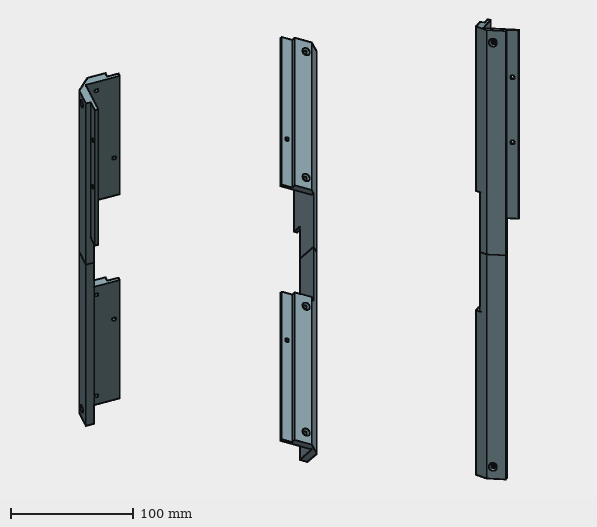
import cadquery as cq

length = 377.0
leg_width = 37.0
split_height = length / 2

leg_thickness = 7.0
lip_step = 4.0
thick_width = 27.0
corner_chamfer = 11.3

window_height = 100.3
front_lip_length = 158.3

screw_offset = 16.5
screw_diameter = 3.5
countersink_diameter = 6.8
screw_end_distance = 10.0

lip_hole_offset = 32.0
lip_hole_diameter = 3.5
lip_hole_height = 282.5
upper_lip_hole_height = 337.5

window_bottom = split_height - window_height / 2
window_top = split_height + window_height / 2
front_lip_bottom = length - front_lip_length


def angle_bar(bottom, top):
    """Full angle section between two heights, with a lip along each leg."""
    outline = [
        (corner_chamfer, 0),
        (thick_width, 0),
        (thick_width, lip_step),
        (leg_width, lip_step),
        (leg_width, leg_thickness),
        (leg_thickness, leg_thickness),
        (leg_thickness, leg_width),
        (lip_step, leg_width),
        (lip_step, thick_width),
        (0, thick_width),
        (0, corner_chamfer),
    ]
    section = cq.Workplane("XY").workplane(offset=bottom).polyline(outline).close()
    return section.extrude(top - bottom)


def cut_window(bar):
    """Remove the side leg beyond the front leg along the middle window."""
    window = cq.Workplane("XY").box(leg_width, leg_width, window_height, centered=(False, False, True))
    return bar.cut(window.translate((0, leg_thickness, split_height)))


def cut_front_lip(bar):
    """Remove the lip of the front leg below its lower end."""
    lip_width = leg_width - thick_width
    block = cq.Workplane("XY").box(lip_width, leg_thickness, front_lip_bottom, centered=False)
    return bar.cut(block.translate((thick_width, 0, 0)))


def front_plane(offset, height):
    """Plane on the outer front face, facing out along -Y."""
    return cq.Workplane(cq.Plane(origin=(offset, 0, height), xDir=(1, 0, 0), normal=(0, -1, 0)))


def side_plane(offset, height):
    """Plane on the outer side face, facing out along -X."""
    return cq.Workplane(cq.Plane(origin=(0, offset, height), xDir=(0, -1, 0), normal=(-1, 0, 0)))


def drill_screw_hole(bar, leg_plane, height):
    """Countersunk hole through the thick part of a leg."""
    radius = screw_diameter / 2
    sink_radius = countersink_diameter / 2
    sink_depth = sink_radius - radius
    profile = [
        (0, 0),
        (sink_radius, 0),
        (radius, -sink_depth),
        (radius, -leg_thickness),
        (0, -leg_thickness),
    ]
    cutter = cq.Workplane("XZ").polyline(profile).close().revolve(axisStart=(0, 0), axisEnd=(0, 1))
    placed_cutter = cutter.val().located(cq.Location(leg_plane(screw_offset, height).plane))
    return bar.cut(cq.Workplane(placed_cutter))


def drill_lip_hole(bar, leg_plane, height):
    """Plain hole through the thin lip of a leg."""
    tool = leg_plane(lip_hole_offset, height).circle(lip_hole_diameter / 2).extrude(-leg_thickness)
    return bar.cut(tool)


def make_upper_bar():
    bar = cut_front_lip(cut_window(angle_bar(split_height, length)))
    bar = drill_screw_hole(bar, front_plane, length - screw_end_distance)
    for height in (window_top + screw_end_distance, length - screw_end_distance):
        bar = drill_screw_hole(bar, side_plane, height)
    for height in (lip_hole_height, upper_lip_hole_height):
        bar = drill_lip_hole(bar, front_plane, height)
    return drill_lip_hole(bar, side_plane, lip_hole_height)


def make_lower_bar():
    bar = cut_front_lip(cut_window(angle_bar(0, split_height)))
    bar = drill_screw_hole(bar, front_plane, screw_end_distance)
    for height in (screw_end_distance, window_bottom - screw_end_distance):
        bar = drill_screw_hole(bar, side_plane, height)
    return drill_lip_hole(bar, side_plane, length - lip_hole_height)


upper_bar = make_upper_bar()
lower_bar = make_lower_bar()

result = cq.Compound.makeCompound([upper_bar.val(), lower_bar.val()])